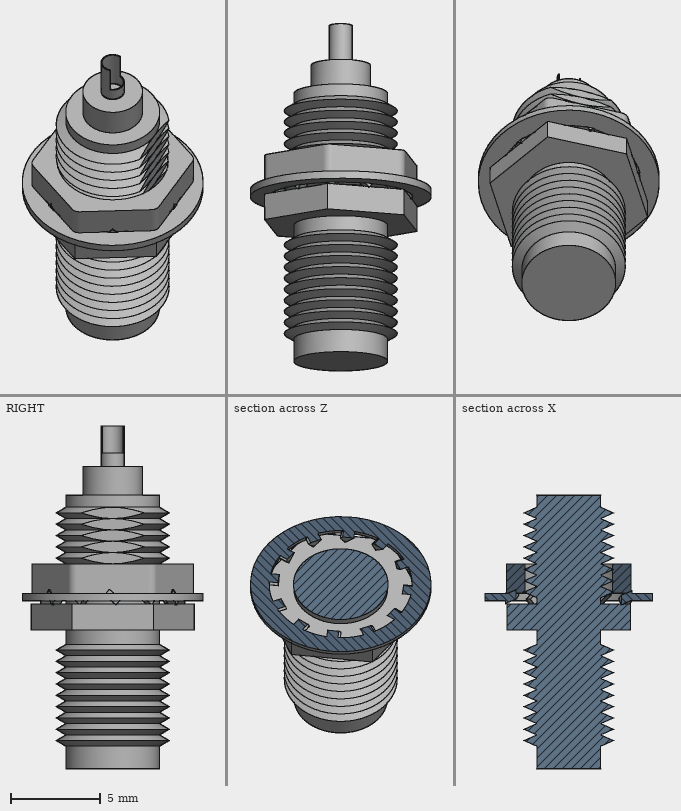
import cadquery as cq
import math


core_radius = 2.64
crest_radius = 3.18
pitch = 0.64
lower_thread_bottom = 1.27
lower_thread_turns = 9
upper_thread_top = 14.69
upper_thread_turns = 8
shell_top = 15.36
flange_bottom = 7.8
flange_top = 9.25
flange_across_flats = 7.93
flat_offset = core_radius

sleeve_radius = 1.67
sleeve_top = 16.98
cup_radius = 0.65
cup_bore_radius = 0.6
cup_top = 19.25
notch_bottom = 17.73
notch_offset = 0.15

washer_radius = 5.08
washer_bottom = 9.43
washer_top = 9.85
washer_hole_radius = 4.0
tooth_count = 12
tooth_inner_radius = 3.5
tooth_outer_radius = 4.05
tooth_width = 0.85
tooth_twist = 40.0

nut_top = 11.51
nut_across_flats = 7.99
nut_corner_radius = 0.5
nut_bore_radius = 3.12


def cylinder(radius, bottom, top):
    return cq.Workplane("XY").workplane(offset=bottom).circle(radius).extrude(top - bottom)


def hexagon(across_flats, bottom, top):
    """Hexagonal prism with two flats square to X and two corners on Y."""
    corner_diameter = across_flats / math.cos(math.radians(30))
    prism = cq.Workplane("XY").polygon(6, corner_diameter).extrude(top - bottom)
    return prism.rotate((0, 0, 0), (0, 0, 1), 30).translate((0, 0, bottom))


def threaded_rod(bottom, top, thread_bottom, turns):
    """Core cylinder carrying a stack of V-ridges, revolved as one profile."""
    profile = cq.Workplane("XZ").moveTo(0, bottom).lineTo(core_radius, bottom)
    profile = profile.lineTo(core_radius, thread_bottom)
    for turn in range(turns):
        root = thread_bottom + turn * pitch
        profile = profile.lineTo(crest_radius, root + pitch / 2)
        profile = profile.lineTo(core_radius, root + pitch)
    profile = profile.lineTo(core_radius, top).lineTo(0, top).close()
    return profile.revolve(360, (0, 0, 0), (0, 1, 0))


def half_space(x_start, bottom, top):
    """Block wider than the shell that covers everything beyond x_start."""
    size = 2 * crest_radius
    block = cq.Workplane("XY").box(size, size, top - bottom, centered=(False, True, False))
    return block.translate((x_start, 0, bottom))


def make_upper_rod():
    thread_bottom = upper_thread_top - upper_thread_turns * pitch
    return threaded_rod(flange_top, shell_top, thread_bottom, upper_thread_turns)


def make_solder_cup():
    cup = cylinder(cup_radius, sleeve_top, cup_top)
    cup = cup.cut(cylinder(cup_bore_radius, sleeve_top, cup_top))
    return cup.cut(half_space(notch_offset, notch_bottom, cup_top))


def make_washer():
    thickness = washer_top - washer_bottom
    middle = (washer_bottom + washer_top) / 2
    washer = cylinder(washer_radius, washer_bottom, washer_top)
    washer = washer.cut(cylinder(washer_hole_radius, washer_bottom, washer_top))
    tooth_length = tooth_outer_radius - tooth_inner_radius
    tooth = cq.Workplane("XY").box(tooth_length, tooth_width, thickness, centered=(False, True, True))
    tooth = tooth.rotate((0, 0, 0), (1, 0, 0), -tooth_twist)
    tooth = tooth.translate((tooth_inner_radius, 0, middle))
    for index in range(tooth_count):
        washer = washer.union(tooth.rotate((0, 0, 0), (0, 0, 1), index * 360 / tooth_count))
    return washer


def make_shell(washer):
    shell = threaded_rod(0, flange_bottom, lower_thread_bottom, lower_thread_turns)
    flat_bottom = upper_thread_top - (upper_thread_turns - 0.5) * pitch
    shell = shell.union(make_upper_rod().cut(half_space(flat_offset, flat_bottom, shell_top)))
    shell = shell.union(hexagon(flange_across_flats, flange_bottom, flange_top))
    shell = shell.union(cylinder(sleeve_radius, shell_top, sleeve_top))
    shell = shell.union(make_solder_cup())
    return shell.cut(washer)


def make_nut(washer):
    nut = hexagon(nut_across_flats, washer_top, nut_top).edges("|Z").fillet(nut_corner_radius)
    nut = nut.cut(cylinder(nut_bore_radius, washer_top, nut_top))
    return nut.cut(make_upper_rod()).cut(washer)


washer = make_washer()
shell = make_shell(washer)
nut = make_nut(washer)

result = cq.Compound.makeCompound([*shell.solids().vals(), *washer.solids().vals(), *nut.solids().vals()])